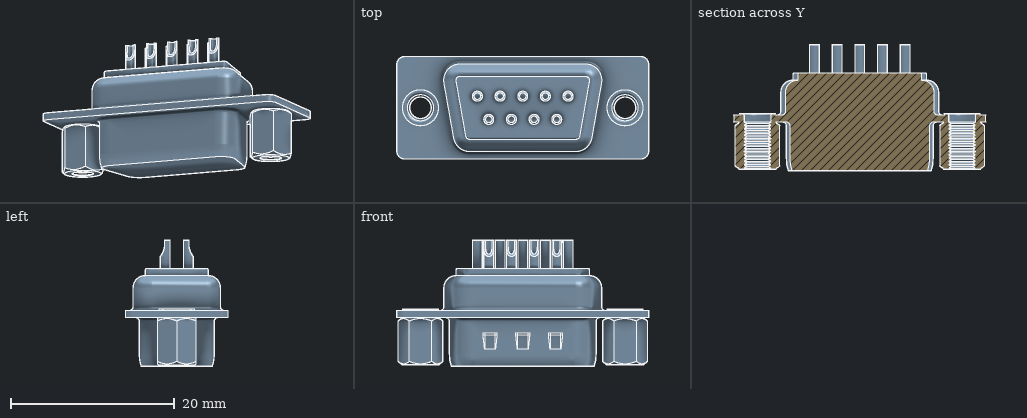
import cadquery as cq
import math

OVERLAP = 0.2
SELECTION_MARGIN = 0.01

plate_length = 30.81
plate_width = 12.55
plate_thickness = 0.87
plate_corner_radius = 1.0
plate_bottom = -plate_thickness

side_lean = math.radians(10)

rear_corner_x = 6.48
rear_corner_y = 3.35
rear_corner_radius = 2.0
rear_height = 4.27
rear_top_fillet = 1.5
flare_radius = 0.45
block_corner_radius = rear_corner_radius - rear_top_fillet
block_top = 5.15
block_edge_fillet = 0.2

front_corner_x = 6.07
front_corner_y = 2.6
front_corner_radius = 2.0
front_straight_end = -5.34
front_end = -6.82
front_end_inset = 0.25

dimple_count = 3
dimple_pitch = 4.0
dimple_top = -2.75
dimple_bottom = -4.68
dimple_floor_width = 1.27
dimple_depth_top = 0.2
dimple_depth_bottom = 0.05
dimple_mouth_top = 1.75
dimple_mouth_bottom = 1.37
dimple_top_slope = 0.25

lock_count = 2
lock_spacing = 24.99
collar_diameter = 4.4
collar_height = 0.17
collar_bore = 3.2
collar_mouth_radius = 0.3
nut_corner_diameter = 5.5
nut_end = -6.64
nut_face_diameter = 4.5
nut_chamfer_height = 0.42

thread_minor_diameter = 2.6
thread_major_diameter = collar_bore
thread_pitch = 0.4

contact_pitch = 2.77
contact_row_offset = 1.42
contact_diameter = 1.22
contact_top = 8.58
wide_row_count = 5
narrow_row_count = 4
cup_bore = 0.8
cup_floor = 6.2
cup_opening_end = 6.6
cup_opening_height = 1.45
cup_wall_offset = 0.08


def d_outline(z, corner_x, corner_y, radius):
    """Closed D-shaped wire at height z, widest on its +Y side."""
    wide_x = corner_x + 2 * corner_y * math.tan(side_lean)
    lean_x = radius * math.cos(side_lean)
    lean_y = radius * math.sin(side_lean)
    wide_mid = (math.pi / 2 - side_lean) / 2
    narrow_mid = -(math.pi / 2 + side_lean) / 2

    def mid(centre_x, centre_y, angle, side):
        return (side * (centre_x + radius * math.cos(angle)), centre_y + radius * math.sin(angle))

    return (
        cq.Workplane("XY", origin=(0, 0, z))
        .moveTo(-corner_x, -corner_y - radius)
        .lineTo(corner_x, -corner_y - radius)
        .threePointArc(mid(corner_x, -corner_y, narrow_mid, 1), (corner_x + lean_x, -corner_y - lean_y))
        .lineTo(wide_x + lean_x, corner_y - lean_y)
        .threePointArc(mid(wide_x, corner_y, wide_mid, 1), (wide_x, corner_y + radius))
        .lineTo(-wide_x, corner_y + radius)
        .threePointArc(mid(wide_x, corner_y, wide_mid, -1), (-wide_x - lean_x, corner_y - lean_y))
        .lineTo(-corner_x - lean_x, -corner_y - lean_y)
        .threePointArc(mid(corner_x, -corner_y, narrow_mid, -1), (-corner_x, -corner_y - radius))
        .close()
    )


def make_plate():
    return (
        cq.Workplane("XY", origin=(0, 0, plate_bottom))
        .rect(plate_length, plate_width)
        .extrude(plate_thickness)
        .edges("|Z")
        .fillet(plate_corner_radius)
    )


def make_rear_shell():
    shell = d_outline(plate_bottom, rear_corner_x, rear_corner_y, rear_corner_radius)
    shell = shell.extrude(rear_height - plate_bottom)
    return shell.faces(">Z").edges().fillet(rear_top_fillet)


def make_contact_block():
    block = d_outline(0, rear_corner_x, rear_corner_y, block_corner_radius).extrude(block_top)
    return block.faces(">Z").edges().fillet(block_edge_fillet)


def make_front_shell():
    outline = d_outline(front_straight_end, front_corner_x, front_corner_y, front_corner_radius)
    return outline.extrude(-front_straight_end)


def make_front_end():
    """Curved end of the front shell; its inset grows with the square of the distance."""
    length = front_straight_end - front_end
    sections = []
    for fraction in (0, 0.5, 1):
        z = front_straight_end - fraction * length
        radius = front_corner_radius - front_end_inset * fraction ** 2
        sections.append(d_outline(z, front_corner_x, front_corner_y, radius).val())
    return cq.Workplane(cq.Solid.makeLoft(sections))


def make_body():
    """Plate with both shells, flared where the shells leave it, and the contact block."""
    body = make_plate().union(make_rear_shell()).union(make_front_shell())
    reach_x = rear_corner_x + rear_corner_radius + 2 * rear_corner_y * math.tan(side_lean) + OVERLAP
    reach_y = rear_corner_y + rear_corner_radius + OVERLAP
    for z in (0, plate_bottom):
        low_corner = (-reach_x, -reach_y, z - SELECTION_MARGIN)
        high_corner = (reach_x, reach_y, z + SELECTION_MARGIN)
        foot = cq.selectors.BoxSelector(low_corner, high_corner)
        body = body.edges(foot).fillet(flare_radius)
    return body.union(make_front_end()).union(make_contact_block())


def make_dimple():
    """Wedge-shaped grip recess, deepest near its upper end, centred on X = 0."""
    wall_y = -front_corner_y - front_corner_radius
    half_floor = dimple_floor_width / 2

    def section(z, mouth_width, depth):
        half_mouth = mouth_width / 2
        outline = cq.Workplane("XY", origin=(0, wall_y, z)).polyline(
            [(-half_mouth, 0), (half_mouth, 0), (half_floor, depth), (-half_floor, depth)]
        )
        return outline.close().val()

    lower = section(dimple_bottom, dimple_mouth_bottom, dimple_depth_bottom)
    deepest = section(dimple_top - dimple_top_slope, dimple_mouth_top, dimple_depth_top)
    upper = section(dimple_top, dimple_mouth_top, dimple_depth_bottom)
    return cq.Workplane(cq.Solid.makeLoft([lower, deepest, upper], True))


def revolve_about_z(points):
    """Solid turned about the Z axis from (radius, height) points."""
    return cq.Workplane("XZ").polyline(points).close().revolve(360, (0, 0), (0, 1))


def make_nut():
    """Hexagonal nut with a corner towards +X and both ends chamfered by a cone."""
    height = plate_bottom - nut_end
    hexagon = cq.Workplane("XY", origin=(0, 0, nut_end)).polygon(6, nut_corner_diameter).extrude(height)
    face_radius = nut_face_diameter / 2
    corner_radius = nut_corner_diameter / 2
    envelope = revolve_about_z([
        (0, nut_end),
        (face_radius, nut_end),
        (corner_radius, nut_end + nut_chamfer_height),
        (corner_radius, plate_bottom - nut_chamfer_height),
        (face_radius, plate_bottom),
        (0, plate_bottom),
    ])
    return hexagon.intersect(envelope)


def make_collar():
    collar = cq.Workplane("XY", origin=(0, 0, plate_bottom)).circle(collar_diameter / 2)
    return collar.extrude(collar_height - plate_bottom)


def make_lock_bore():
    """Plain rounded-mouth bore through the collar, then the threaded bore through the nut."""
    bore_radius = collar_bore / 2
    mouth_radius = bore_radius + collar_mouth_radius
    arc_inset = collar_mouth_radius * (1 - math.sqrt(0.5))
    plain = (
        cq.Workplane("XZ")
        .moveTo(0, collar_height)
        .lineTo(mouth_radius, collar_height)
        .threePointArc(
            (bore_radius + arc_inset, collar_height - arc_inset),
            (bore_radius, collar_height - collar_mouth_radius),
        )
        .lineTo(bore_radius, plate_bottom)
        .lineTo(0, plate_bottom)
        .close()
        .revolve(360, (0, 0), (0, 1))
    )
    minor_radius = thread_minor_diameter / 2
    major_radius = thread_major_diameter / 2
    ring_count = math.floor((plate_bottom - nut_end) / thread_pitch)
    points = [(0, plate_bottom), (major_radius, plate_bottom)]
    for ring in range(ring_count):
        ring_top = plate_bottom - ring * thread_pitch
        points.append((minor_radius, ring_top - thread_pitch / 2))
        points.append((major_radius, ring_top - thread_pitch))
    points.append((minor_radius, nut_end))
    points.append((minor_radius, nut_end - OVERLAP))
    points.append((0, nut_end - OVERLAP))
    return plain.union(revolve_about_z(points))


def make_contact():
    """Solder-cup contact on the Z axis with its opening facing +Y."""
    radius = contact_diameter / 2
    foot = block_top - OVERLAP
    pin = cq.Workplane("XY", origin=(0, 0, foot)).circle(radius).extrude(contact_top - foot)
    cup_depth = contact_top - cup_floor
    pin = pin.faces(">Z").workplane().circle(cup_bore / 2).cutBlind(-cup_depth)

    run = radius - cup_wall_offset
    sweep_radius = (run ** 2 + cup_opening_height ** 2) / (2 * run)
    half_sweep = math.asin(cup_opening_height / sweep_radius) / 2
    arc_start_z = cup_opening_end + cup_opening_height
    arc_mid = (
        cup_wall_offset + sweep_radius * (1 - math.cos(half_sweep)),
        arc_start_z - sweep_radius * math.sin(half_sweep),
    )
    opening = (
        cq.Workplane("YZ")
        .moveTo(cup_wall_offset, contact_top + OVERLAP)
        .lineTo(cup_wall_offset, arc_start_z)
        .threePointArc(arc_mid, (radius, cup_opening_end))
        .lineTo(radius + OVERLAP, cup_opening_end)
        .lineTo(radius + OVERLAP, contact_top + OVERLAP)
        .close()
        .extrude(contact_diameter, both=True)
    )
    return pin.cut(opening)


def centred_positions(count, pitch):
    return [(index - (count - 1) / 2) * pitch for index in range(count)]


result = make_body()

dimple = make_dimple()
for x in centred_positions(dimple_count, dimple_pitch):
    result = result.cut(dimple.translate((x, 0, 0)))

screw_lock = make_nut().union(make_collar())
lock_bore = make_lock_bore()
for x in centred_positions(lock_count, lock_spacing):
    result = result.union(screw_lock.translate((x, 0, 0))).cut(lock_bore.translate((x, 0, 0)))

wide_contact = make_contact()
narrow_contact = wide_contact.rotate((0, 0, 0), (0, 0, 1), 180)
for x in centred_positions(wide_row_count, contact_pitch):
    result = result.union(wide_contact.translate((x, contact_row_offset, 0)))
for x in centred_positions(narrow_row_count, contact_pitch):
    result = result.union(narrow_contact.translate((x, -contact_row_offset, 0)))